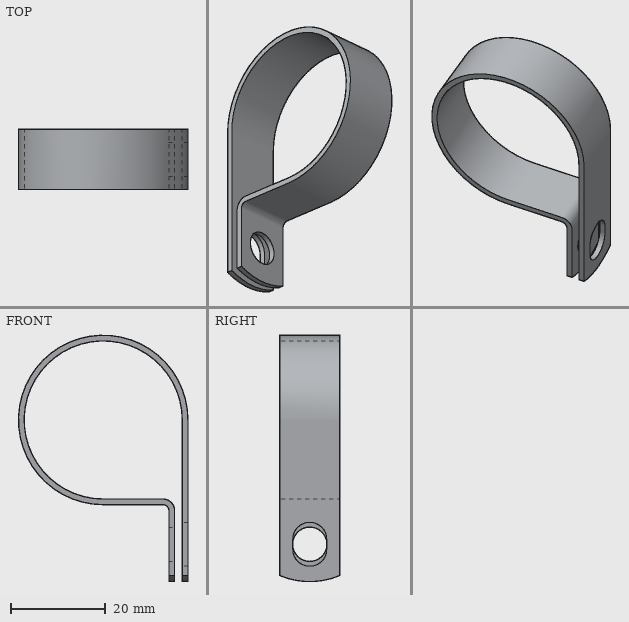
import cadquery as cq
import math

loop_radius = 17.85
thickness = 1.25
width = 12.7
total_height = 51.95
leg_gap = 1.55
bend_radius = 2.5
hole_diameter = 7.15
slot_length = 9.25
hole_height = 7.9
tip_sag = 1.3

inner_radius = loop_radius - thickness
inner_bend_radius = bend_radius - thickness
bottom_z = loop_radius - total_height
short_leg_outer_x = inner_radius - leg_gap
short_leg_inner_x = short_leg_outer_x - thickness
bend_x = short_leg_outer_x - bend_radius
bend_z = -inner_radius - bend_radius
half_width = width / 2
diagonal = math.sqrt(0.5)


def bent_strip():
    """Loop, straight long leg and bent short leg as one extruded profile."""
    return (
        cq.Workplane("XZ")
        .moveTo(loop_radius, bottom_z)
        .lineTo(loop_radius, 0)
        .threePointArc((-loop_radius * diagonal, loop_radius * diagonal), (0, -loop_radius))
        .lineTo(bend_x, -loop_radius)
        .threePointArc(
            (bend_x + inner_bend_radius * diagonal, bend_z + inner_bend_radius * diagonal),
            (short_leg_inner_x, bend_z),
        )
        .lineTo(short_leg_inner_x, bottom_z)
        .lineTo(short_leg_outer_x, bottom_z)
        .lineTo(short_leg_outer_x, bend_z)
        .threePointArc(
            (bend_x + bend_radius * diagonal, bend_z + bend_radius * diagonal),
            (bend_x, -inner_radius),
        )
        .lineTo(0, -inner_radius)
        .threePointArc((-inner_radius * diagonal, inner_radius * diagonal), (inner_radius, 0))
        .lineTo(inner_radius, bottom_z)
        .close()
        .extrude(half_width, both=True)
    )


def rounded_tip_envelope():
    """Side silhouette of the strip, with a shallow arc across the leg tips."""
    return (
        cq.Workplane("YZ")
        .moveTo(-half_width, loop_radius)
        .lineTo(-half_width, bottom_z + tip_sag)
        .threePointArc((0, bottom_z), (half_width, bottom_z + tip_sag))
        .lineTo(half_width, loop_radius)
        .close()
        .extrude(loop_radius, both=True)
    )


def leg_face(inner_face_x):
    """Workplane on the inner face of a leg, centred on its opening."""
    return cq.Workplane("YZ", origin=(inner_face_x, 0, bottom_z + hole_height))


def short_leg_hole():
    """Cutter for the round hole in the short leg."""
    return leg_face(short_leg_inner_x).circle(hole_diameter / 2).extrude(thickness)


def long_leg_slot():
    """Cutter for the upright slot in the long leg."""
    return leg_face(inner_radius).slot2D(slot_length, hole_diameter, 90).extrude(thickness)


strip = bent_strip().intersect(rounded_tip_envelope())
result = strip.cut(short_leg_hole()).cut(long_leg_slot())